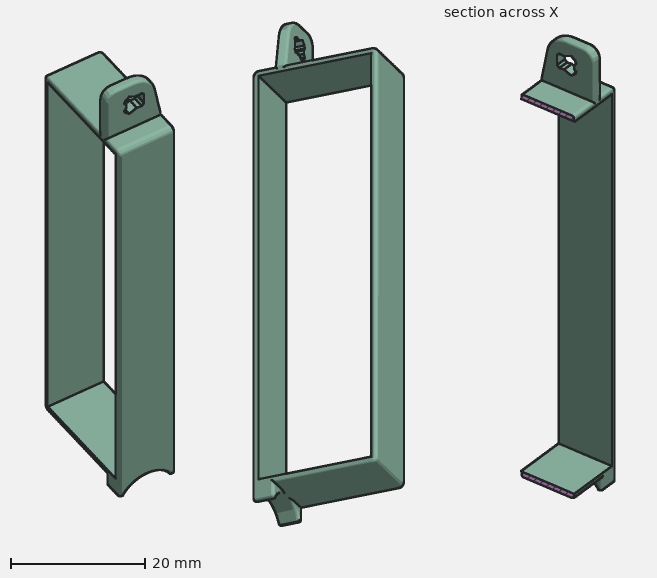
import cadquery as cq
import math

frame_width = 20.5
frame_height = 69.0
depth = 10.0
wall = 1.0
corner_radius = 1.0
edge_radius = 0.5

tab_offset = 14.95
tab_thickness = 1.9
tab_height = 8.85
tab_front_radius = 2.0
tab_back_radius = 4.0

foot_width = 3.6
foot_height = 2.36
saddle_radius = 5.0

half_width = frame_width / 2
half_depth = depth / 2
tab_left = tab_offset - half_width
foot_left = half_width - foot_width
tab_top = frame_height + tab_height

hole_half_outline = [
    (1.8, 0.9),
    (1.4, 1.3),
    (0.5, 1.2),
    (-0.85, 1.75),
    (-1.55, 1.2),
    (-1.7, 0.75),
    (-1.35, 0.3),
]


def make_frame():
    outer = (
        cq.Workplane("XY")
        .box(frame_width, depth, frame_height, centered=(True, True, False))
        .edges("|Y")
        .fillet(corner_radius)
        .faces("<Y or >Y")
        .edges()
        .fillet(edge_radius)
    )
    opening = (
        cq.Workplane("XY")
        .box(frame_width - 2 * wall, depth, frame_height - 2 * wall, centered=(True, True, False))
        .translate((0, 0, wall))
    )
    return outer.cut(opening)


def make_tab():
    root = frame_height - wall
    round_centre_z = tab_top - tab_back_radius
    rise = round_centre_z - frame_height
    centre_distance = math.hypot(half_depth, rise)
    tangent_angle = math.acos(tab_back_radius / centre_distance) - math.atan2(rise, half_depth)
    middle_angle = (tangent_angle + math.pi / 2) / 2

    def on_back_round(angle):
        return (
            tab_back_radius * math.cos(angle),
            round_centre_z + tab_back_radius * math.sin(angle),
        )

    profile = (
        cq.Workplane("YZ", origin=(tab_left, 0, 0))
        .moveTo(-half_depth, root)
        .lineTo(half_depth, root)
        .lineTo(half_depth, frame_height)
        .lineTo(*on_back_round(tangent_angle))
        .threePointArc(on_back_round(middle_angle), (0, tab_top))
        .lineTo(tab_front_radius - half_depth, tab_top)
        .radiusArc((-half_depth, tab_top - tab_front_radius), -tab_front_radius)
        .close()
    )
    plate = profile.extrude(tab_thickness)
    plate = plate.faces("<X or >X").edges("not <Z").fillet(edge_radius)

    lower_half = [(y, -z) for y, z in reversed(hole_half_outline)]
    hole = (
        cq.Workplane("YZ", origin=(tab_left, 0, round_centre_z))
        .polyline(hole_half_outline + lower_half)
        .close()
        .extrude(tab_thickness)
    )
    return plate.cut(hole)


def make_foot():
    block = (
        cq.Workplane("XY", origin=(foot_left + foot_width / 2, 0, -foot_height))
        .box(foot_width, depth, foot_height + wall, centered=(True, True, False))
    )
    flare_radius = saddle_radius + edge_radius
    cutter = (
        cq.Workplane("XY", origin=(foot_left, 0, -saddle_radius))
        .lineTo(0, flare_radius)
        .radiusArc((edge_radius, saddle_radius), -edge_radius)
        .lineTo(foot_width - edge_radius, saddle_radius)
        .radiusArc((foot_width, flare_radius), -edge_radius)
        .lineTo(foot_width, 0)
        .close()
        .revolve(360, (0, 0), (1, 0))
    )
    return block.edges("not >Z").fillet(edge_radius).cut(cutter)


result = make_frame().union(make_tab()).union(make_foot())